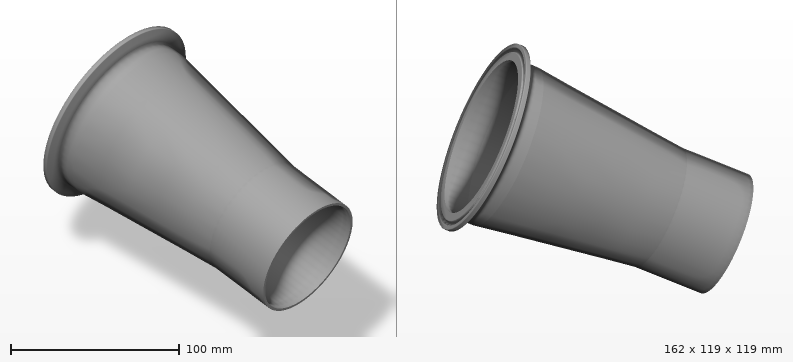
import cadquery as cq

length = 162.0

flange_radius = 59.5
rim_end = 3.0
rim_rounding = 0.5
back_foot = 5.8
back_fillet = 1.3

groove_inner_radius = 54.0
groove_outer_radius = 56.7
groove_depth = 1.5
groove_rounding = 0.5

large_outer_radius = 101.5 / 2
large_bore_radius = 97.3 / 2
small_outer_radius = 76.3 / 2
small_bore_radius = 72.9 / 2
taper_start = 15.9
taper_end = 117.7


def revolve_about_x(profile):
    """Turn a closed (x, radius) profile around the X axis."""
    return profile.close().revolve(360, (0, 0, 0), (1, 0, 0))


def make_body():
    """Flange, neck, taper and small tube with the bore through them."""
    profile = (
        cq.Workplane("XY")
        .moveTo(0, large_bore_radius)
        .lineTo(0, flange_radius)
        .lineTo(rim_end, flange_radius)
        .lineTo(back_foot, large_outer_radius)
        .lineTo(taper_start, large_outer_radius)
        .lineTo(taper_end, small_outer_radius)
        .lineTo(length, small_outer_radius)
        .lineTo(length, small_bore_radius)
        .lineTo(taper_end, small_bore_radius)
        .lineTo(taper_start, large_bore_radius)
    )
    return revolve_about_x(profile)


def round_rim(solid, x, radius, rounding):
    """Fillet the circular edge of the given radius that lies at x."""
    tolerance = 0.02
    rims = solid.edges("%CIRCLE").filter(
        lambda edge: abs(edge.Center().x - x) < tolerance and abs(edge.radius() - radius) < tolerance
    )
    return rims.fillet(rounding)


def make_gasket_groove():
    """Ring with a rounded bottom, cut into the flange face."""
    middle_radius = (groove_inner_radius + groove_outer_radius) / 2
    profile = (
        cq.Workplane("XY")
        .moveTo(0, groove_inner_radius)
        .threePointArc((groove_depth, middle_radius), (0, groove_outer_radius))
    )
    return revolve_about_x(profile)


body = make_body()
body = round_rim(body, back_foot, large_outer_radius, back_fillet)
for rim_x in (0, rim_end):
    body = round_rim(body, rim_x, flange_radius, rim_rounding)

body = body.cut(make_gasket_groove())
for groove_radius in (groove_inner_radius, groove_outer_radius):
    body = round_rim(body, 0, groove_radius, groove_rounding)

result = body